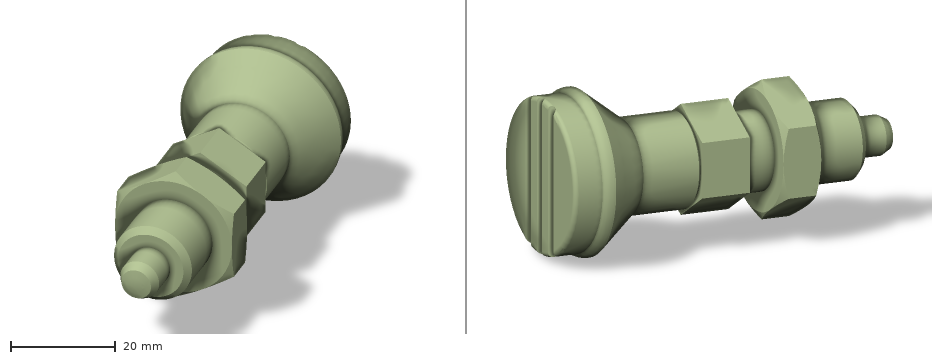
import cadquery as cq
import math


length = 74.0
pin_taper_length = 2.3
pin_dome_height = 0.45
body_start = 8.0
nut_start = 20.0
nut_end = 28.0
hex_start = 34.0
hex_end = 44.0
sleeve_end = 56.5
rim_start = 65.65
rim_band = 0.4
cap_start = 68.1

pin_radius = 4.0
pin_end_radius = 3.0
body_radius = 8.0
sleeve_radius = 9.55
rim_radius = 16.5
cap_radius = 15.55
nut_across_flats = 24.0
hex_across_flats = 19.0

body_chamfer = 1.25
sleeve_chamfer = 0.7
cap_fillet = 0.95
nut_chamfer_angle = 30.0

groove_count = 3
groove_spacing = 4.95
groove_radius = 1.2
groove_depth = 0.95


def rod(radius, start, end):
    """Cylinder along Y between two stations."""
    return cq.Workplane("XZ", origin=(0, end, 0)).circle(radius).extrude(end - start)


def hex_prism(across_flats, start, end):
    """Hexagon along Y with corners on the Z axis and flats facing X."""
    corner_diameter = across_flats / math.cos(math.pi / 6)
    section = cq.Workplane("XZ", origin=(0, end, 0)).transformed(rotate=(0, 0, 90))
    return section.polygon(6, corner_diameter).extrude(end - start)


def revolve_about_y(profile):
    return profile.close().revolve(360, (0, 0, 0), (0, 1, 0))


def make_pin():
    """Locating pin with a tapered nose and a slightly domed tip."""
    dome_radius = (pin_end_radius**2 + pin_dome_height**2) / (2 * pin_dome_height)
    mid_x = pin_end_radius / 2
    mid_y = dome_radius - math.sqrt(dome_radius**2 - mid_x**2)
    profile = (
        cq.Workplane("XY")
        .threePointArc((mid_x, mid_y), (pin_end_radius, pin_dome_height))
        .lineTo(pin_radius, pin_taper_length)
        .lineTo(pin_radius, body_start)
        .lineTo(0, body_start)
    )
    return revolve_about_y(profile)


def make_body():
    """Round body with a chamfered end, carrying the hexagon collar."""
    barrel = rod(body_radius, body_start, hex_start).faces("<Y").chamfer(body_chamfer)
    return barrel.union(hex_prism(hex_across_flats, hex_start, hex_end))


def make_nut():
    """Lock nut whose corners are turned off conically at both faces."""
    flat_radius = nut_across_flats / 2
    corner_radius = flat_radius / math.cos(math.pi / 6)
    drop = (corner_radius - flat_radius) * math.tan(math.radians(nut_chamfer_angle))
    profile = (
        cq.Workplane("XY")
        .moveTo(0, nut_start)
        .lineTo(flat_radius, nut_start)
        .lineTo(corner_radius, nut_start + drop)
        .lineTo(corner_radius, nut_end - drop)
        .lineTo(flat_radius, nut_end)
        .lineTo(0, nut_end)
    )
    return hex_prism(nut_across_flats, nut_start, nut_end).intersect(revolve_about_y(profile))


def make_knob():
    """Sleeve, flared grip with a rounded rim, and the grooved cap."""
    round_start = rim_start + rim_band
    round_height = cap_start - round_start
    round_width = rim_radius - cap_radius
    round_radius = (round_width**2 + round_height**2) / (2 * round_width)
    half_angle = math.asin(round_height / round_radius) / 2
    round_middle = (
        rim_radius - round_radius * (1 - math.cos(half_angle)),
        round_start + round_radius * math.sin(half_angle),
    )
    profile = (
        cq.Workplane("XY")
        .moveTo(0, hex_end)
        .lineTo(sleeve_radius - sleeve_chamfer, hex_end)
        .lineTo(sleeve_radius, hex_end + sleeve_chamfer)
        .lineTo(sleeve_radius, sleeve_end)
        .lineTo(rim_radius, rim_start)
        .lineTo(rim_radius, round_start)
        .threePointArc(round_middle, (cap_radius, cap_start))
        .lineTo(cap_radius, length)
        .lineTo(0, length)
    )
    knob = revolve_about_y(profile).faces(">Y").edges().fillet(cap_fillet)
    groove_y = length - groove_depth + groove_radius
    for index in range(groove_count):
        groove_x = (index - (groove_count - 1) / 2) * groove_spacing
        groove = cq.Workplane("XY").center(groove_x, groove_y).circle(groove_radius)
        knob = knob.cut(groove.extrude(cap_radius, both=True))
    return knob


result = make_pin().union(make_body()).union(make_nut()).union(make_knob())